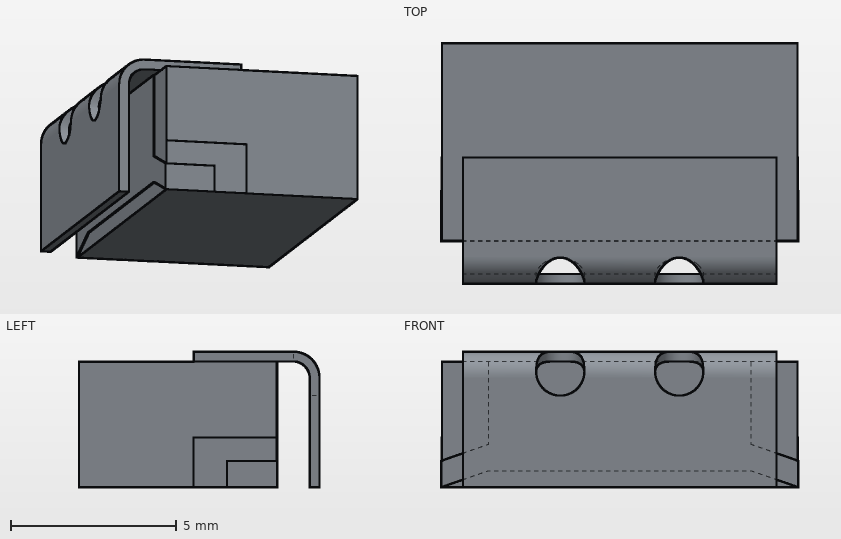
import math
import cadquery as cq

LENGTH = 10.8
DEPTH = 7.28
HEIGHT = 4.1

SHEET = 0.3
BRACKET_WIDTH = 9.48
BRACKET_LAP = 2.54
BEND_RADIUS = 0.8
BEND_INNER_RADIUS = BEND_RADIUS - SHEET

HOLE_DIAMETER = 1.46
HOLE_RADIUS = HOLE_DIAMETER / 2
HOLE_PITCH = 3.6
HOLE_RISE = 0.19
UNFOLD_RADIUS = 0.59
HOLE_TIP_ANGLE = 89
HOLE_SECTIONS = 12
CUTTER_MARGIN = 0.11

FRONT_LAYER = 0.03
END_PAD_LAYER = 0.01
END_TAB_LAYER = 0.02
BLOCK_LENGTH = LENGTH - 2 * END_TAB_LAYER
BLOCK_DEPTH = 5.97
BLOCK_HEIGHT = HEIGHT - SHEET
END_PAD_DEPTH = BRACKET_LAP
END_PAD_HEIGHT = 1.51
TAB_DEPTH = 1.53
TAB_HEIGHT = 0.8
TAB_RUN = 1.43
TAB_RISE = 0.5

BLOCK_FRONT = DEPTH - BLOCK_DEPTH
FACE_FRONT = BLOCK_FRONT - FRONT_LAYER
BEND_Y = BEND_RADIUS
BEND_Z = HEIGHT - BEND_RADIUS
BRACKET_BACK = FACE_FRONT + BRACKET_LAP


def standing_box(length, depth, height, front):
    """Box centred on X, standing on Z = 0, with its front face at the given Y."""
    base = cq.Workplane("XY", origin=(0, front, 0))
    return base.box(length, depth, height, centered=(True, False, False))


def make_block():
    """Block with pads on both ends and a metal layer on its front."""
    block = standing_box(BLOCK_LENGTH, BLOCK_DEPTH, BLOCK_HEIGHT, BLOCK_FRONT)
    end_pads = standing_box(BLOCK_LENGTH + 2 * END_PAD_LAYER, END_PAD_DEPTH, END_PAD_HEIGHT, FACE_FRONT)
    end_tabs = standing_box(LENGTH, TAB_DEPTH, TAB_HEIGHT, FACE_FRONT)
    clear_front = standing_box(LENGTH, FRONT_LAYER, BLOCK_HEIGHT, FACE_FRONT)
    return block.union(end_pads).union(end_tabs).cut(clear_front).union(make_front_layer())


def make_front_layer():
    """Wide metal area on the front with a sloping tab down to each end."""
    end = LENGTH / 2
    knee = end - TAB_RUN
    right_side = [
        (knee, TAB_RISE),
        (end, 0),
        (end, TAB_HEIGHT),
        (knee, TAB_HEIGHT + TAB_RISE),
        (knee, BLOCK_HEIGHT),
    ]
    left_side = [(-x, z) for x, z in reversed(right_side)]
    return (
        cq.Workplane("XZ", origin=(0, BLOCK_FRONT, 0))
        .polyline(right_side + left_side)
        .close()
        .extrude(FRONT_LAYER)
    )


def make_bracket():
    """Constant-thickness sheet with a quarter-round bend."""
    diagonal = math.cos(math.pi / 4)
    return (
        cq.Workplane("YZ", origin=(-BRACKET_WIDTH / 2, 0, 0))
        .moveTo(BRACKET_BACK, HEIGHT)
        .lineTo(BEND_Y, HEIGHT)
        .threePointArc(
            (BEND_Y - BEND_RADIUS * diagonal, BEND_Z + BEND_RADIUS * diagonal),
            (0, BEND_Z),
        )
        .lineTo(0, 0)
        .lineTo(SHEET, 0)
        .lineTo(SHEET, BEND_Z)
        .threePointArc(
            (BEND_Y - BEND_INNER_RADIUS * diagonal, BEND_Z + BEND_INNER_RADIUS * diagonal),
            (BEND_Y, BLOCK_HEIGHT),
        )
        .lineTo(BRACKET_BACK, BLOCK_HEIGHT)
        .close()
        .extrude(BRACKET_WIDTH)
    )


def bend_section(hole_angle):
    """Rectangle through the bent sheet, as wide as the hole at this angle round its rim."""
    half_width = HOLE_RADIUS * math.cos(hole_angle)
    bend_angle = (HOLE_RISE + HOLE_RADIUS * math.sin(hole_angle)) / UNFOLD_RADIUS

    def corner(x, radius):
        return cq.Vector(
            x,
            BEND_Y - radius * math.cos(bend_angle),
            BEND_Z + radius * math.sin(bend_angle),
        )

    inner = BEND_INNER_RADIUS - CUTTER_MARGIN
    outer = BEND_RADIUS + CUTTER_MARGIN
    corners = [
        corner(-half_width, inner),
        corner(half_width, inner),
        corner(half_width, outer),
        corner(-half_width, outer),
    ]
    return cq.Wire.makePolygon(corners, close=True)


def make_hole_cutters():
    """Two parts of a hole centred on X = 0: round in the upright leg, wrapped in the bend."""
    leg_depth = SHEET + 2 * CUTTER_MARGIN
    round_part = (
        cq.Workplane("XZ", origin=(0, SHEET + CUTTER_MARGIN, BEND_Z + HOLE_RISE))
        .circle(HOLE_RADIUS)
        .extrude(leg_depth)
    )
    below_bend = standing_box(LENGTH, leg_depth, BEND_Z, -CUTTER_MARGIN)
    start = math.asin(-HOLE_RISE / HOLE_RADIUS)
    step = (math.radians(HOLE_TIP_ANGLE) - start) / (HOLE_SECTIONS - 1)
    sections = [bend_section(start + step * i) for i in range(HOLE_SECTIONS)]
    wrapped_part = cq.Workplane(cq.Solid.makeLoft(sections))
    return round_part.intersect(below_bend), wrapped_part


bracket = make_bracket()
for side in (-1, 1):
    for cutter in make_hole_cutters():
        bracket = bracket.cut(cutter.translate((side * HOLE_PITCH / 2, 0, 0)))

result = make_block().union(bracket)